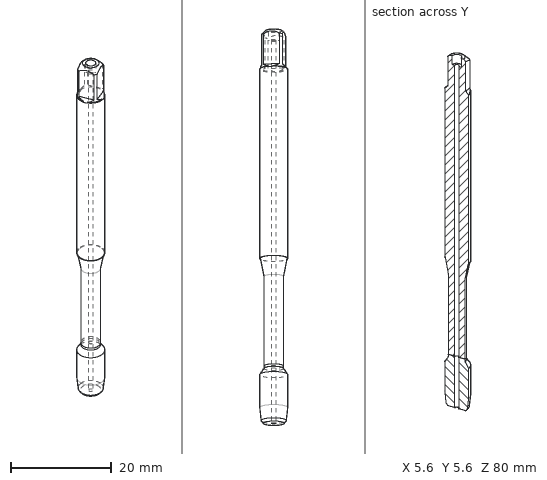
import cadquery as cq

total_length = 80.0
lead_chamfer_top = 0.6
lead_taper_top = 3.2
head_shoulder_bottom = 9.9
head_shoulder_top = 11.2
head_top = 11.7
neck_top = 29.9
shank_bottom = 33.6
shank_top = 72.2
square_bottom = 72.8
square_chamfer_bottom = 79.0

shank_diameter = 5.6
neck_diameter = 3.9
neck_cone_diameter = 5.4
square_corner_diameter = 5.4
square_top_diameter = 3.3
head_diameter = shank_diameter
lead_diameter = 5.0
tip_diameter = 4.2

square_width = 4.2
shank_chamfer = (shank_diameter - square_corner_diameter) / 2
shank_bore_diameter = 1.0
head_bore_diameter = 0.9
center_hole_diameter = 2.0
center_hole_depth = 2.0

drive_end_bottom = square_bottom - shank_diameter / 2


def turned(profile):
    """Revolve (diameter, height) corners about Z, closing the outline along the axis."""
    corners = [(diameter / 2, height) for diameter, height in profile]
    start = (0, profile[0][1])
    end = (0, profile[-1][1])
    outline = cq.Workplane("XZ").polyline([start, *corners, end]).close()
    return outline.revolve(360, (0, 0, 0), (0, 1, 0))


def cylinder(diameter, bottom, top):
    return cq.Workplane("XY").workplane(offset=bottom).circle(diameter / 2).extrude(top - bottom)


def make_square_limits():
    """Square bar whose four flats run out at 45 degrees into the shank below."""
    runout_height = square_bottom - drive_end_bottom
    runout_width = square_width + 2 * runout_height
    runout = (
        cq.Workplane("XY")
        .workplane(offset=square_bottom - runout_height)
        .rect(runout_width, runout_width)
        .workplane(offset=runout_height)
        .rect(square_width, square_width)
        .loft(ruled=True)
    )
    bar = (
        cq.Workplane("XY")
        .workplane(offset=square_bottom)
        .rect(square_width, square_width)
        .extrude(total_length - square_bottom)
    )
    return runout.union(bar)


def make_drive_end():
    """Top of the shank: edge chamfer, rounded square corners and a conical chamfer at the free end."""
    envelope = turned([
        (shank_diameter, drive_end_bottom),
        (shank_diameter, shank_top),
        (square_corner_diameter, shank_top + shank_chamfer),
        (square_corner_diameter, square_chamfer_bottom),
        (square_top_diameter, total_length),
    ])
    return envelope.intersect(make_square_limits())


def make_shank():
    """Neck, conical transition, cylindrical shank and drive square."""
    body = turned([
        (neck_diameter, head_top),
        (neck_diameter, neck_top),
        (neck_cone_diameter, shank_bottom),
        (shank_diameter, shank_bottom),
        (shank_diameter, drive_end_bottom),
    ])
    body = body.union(make_drive_end())
    bore = cylinder(shank_bore_diameter, head_top, total_length)
    center_hole = cylinder(center_hole_diameter, total_length - center_hole_depth, total_length)
    return body.cut(bore).cut(center_hole)


def make_head():
    """Cutting head with a tapered lead, butted against the end of the neck."""
    body = turned([
        (tip_diameter, 0),
        (lead_diameter, lead_chamfer_top),
        (head_diameter, lead_taper_top),
        (head_diameter, head_shoulder_bottom),
        (neck_diameter, head_shoulder_top),
        (neck_diameter, head_top),
    ])
    return body.cut(cylinder(head_bore_diameter, 0, head_top))


shank = make_shank()
head = make_head()

result = cq.Compound.makeCompound([shank.val(), head.val()])